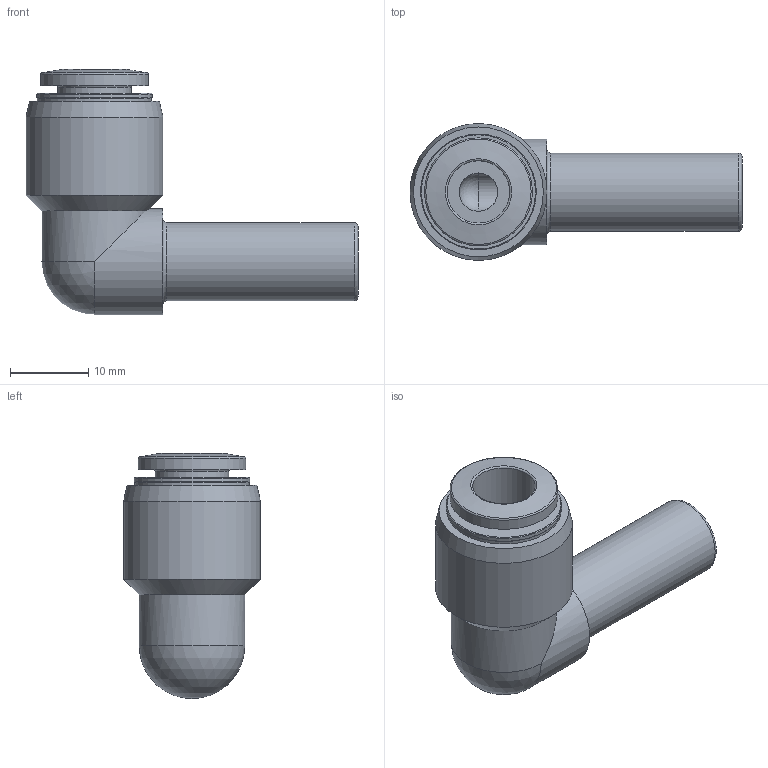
import cadquery as cq
import math


ELBOW_R = 13.5 / 2
PASSAGE_R = 4.9 / 2

SOCKET_R = 17.5 / 2
SOCKET_CONE = SOCKET_R - ELBOW_R
SOCKET_BASE_Z = 6.5
SOCKET_CYL_LENGTH = 10.0
SOCKET_TAPER_LENGTH = 2.0
SOCKET_TAPER_DEPTH = 0.45

RING_R = 14.8 / 2
RING_HEIGHT = 1.05
RING_EDGE = 0.1
RING_FOOT_HEIGHT = 0.4
RING_FOOT_R = RING_R - RING_EDGE

TOP_Z = 24.59
NECK_R = 9.4 / 2
FLANGE_R = 13.8 / 2
FLANGE_BASE_Z = 22.52
CROWN_ANGLE = math.radians(10)
BUTTON_ROUND = 0.2
BORE_R = 8.0 / 2

STEM_R = 10.0 / 2
STEM_END_X = 33.7
STEM_ROUND = 0.5

SOCKET_CYL_Z = SOCKET_BASE_Z + SOCKET_CONE
SOCKET_TAPER_Z = SOCKET_CYL_Z + SOCKET_CYL_LENGTH
SOCKET_TOP_Z = SOCKET_TAPER_Z + SOCKET_TAPER_LENGTH
SOCKET_TOP_R = SOCKET_R - SOCKET_TAPER_DEPTH
RING_TOP_Z = SOCKET_TOP_Z + RING_HEIGHT
RING_FOOT_Z = SOCKET_TOP_Z + RING_FOOT_HEIGHT
ELBOW_END_X = SOCKET_R


def revolve_z(profile):
    """Turn a closed (radius, z) outline around the Z axis."""
    return profile.close().revolve(360, (0, 0, 0), (0, 1, 0))


def elbow(radius, x_end, z_end):
    """Two equal cylinders along +X and +Z, joined by a ball at the corner."""
    ball = cq.Workplane("XY").sphere(radius)
    along_x = cq.Workplane("YZ").circle(radius).extrude(x_end)
    along_z = cq.Workplane("XY").circle(radius).extrude(z_end)
    return along_x.union(along_z).union(ball)


def socket():
    profile = (
        cq.Workplane("XZ")
        .moveTo(0, SOCKET_BASE_Z)
        .lineTo(ELBOW_R, SOCKET_BASE_Z)
        .lineTo(SOCKET_R, SOCKET_CYL_Z)
        .lineTo(SOCKET_R, SOCKET_TAPER_Z)
        .lineTo(SOCKET_TOP_R, SOCKET_TOP_Z)
        .lineTo(0, SOCKET_TOP_Z)
    )
    return revolve_z(profile)


def collar_ring():
    profile = (
        cq.Workplane("XZ")
        .moveTo(0, SOCKET_TOP_Z)
        .lineTo(RING_FOOT_R, SOCKET_TOP_Z)
        .lineTo(RING_FOOT_R, RING_FOOT_Z)
        .lineTo(RING_R, RING_FOOT_Z + RING_EDGE)
        .lineTo(RING_R, RING_TOP_Z - RING_EDGE)
        .lineTo(RING_R - RING_EDGE, RING_TOP_Z)
        .lineTo(0, RING_TOP_Z)
    )
    return revolve_z(profile)


def release_button():
    """Ring-shaped button whose crown runs tangent into the bore mouth and the flange edge."""
    mouth_r = BORE_R + BUTTON_ROUND
    mouth_z = TOP_Z - BUTTON_ROUND
    edge_r = FLANGE_R - BUTTON_ROUND
    edge_z = mouth_z - (edge_r - mouth_r) * math.tan(CROWN_ANGLE)
    tangent_r = BUTTON_ROUND * math.sin(CROWN_ANGLE)
    tangent_z = BUTTON_ROUND * math.cos(CROWN_ANGLE)
    profile = (
        cq.Workplane("XZ")
        .moveTo(BORE_R, RING_TOP_Z)
        .lineTo(NECK_R, RING_TOP_Z)
        .lineTo(NECK_R, FLANGE_BASE_Z - BUTTON_ROUND)
        .radiusArc((NECK_R + BUTTON_ROUND, FLANGE_BASE_Z), BUTTON_ROUND)
        .lineTo(FLANGE_R, FLANGE_BASE_Z)
        .lineTo(FLANGE_R, edge_z)
        .radiusArc((edge_r + tangent_r, edge_z + tangent_z), -BUTTON_ROUND)
        .lineTo(mouth_r + tangent_r, mouth_z + tangent_z)
        .radiusArc((BORE_R, mouth_z), -BUTTON_ROUND)
    )
    return revolve_z(profile)


def stem():
    """Plug-in stem with a concave root fillet and a rounded end, turned around X."""
    return (
        cq.Workplane("XY")
        .moveTo(ELBOW_END_X, 0)
        .lineTo(ELBOW_END_X, STEM_R + STEM_ROUND)
        .radiusArc((ELBOW_END_X + STEM_ROUND, STEM_R), -STEM_ROUND)
        .lineTo(STEM_END_X - STEM_ROUND, STEM_R)
        .radiusArc((STEM_END_X, STEM_R - STEM_ROUND), STEM_ROUND)
        .lineTo(STEM_END_X, 0)
        .close()
        .revolve(360, (0, 0, 0), (1, 0, 0))
    )


def tube_bore():
    """Tube bore from the mouth down to the shoulder inside the socket."""
    depth = TOP_Z - SOCKET_CYL_Z
    return cq.Workplane("XY").workplane(offset=SOCKET_CYL_Z).circle(BORE_R).extrude(depth)


body = elbow(ELBOW_R, ELBOW_END_X, SOCKET_BASE_Z)
for piece in (socket(), collar_ring(), release_button(), stem()):
    body = body.union(piece)

passage = elbow(PASSAGE_R, STEM_END_X, SOCKET_CYL_Z)
result = body.cut(passage).cut(tube_bore())